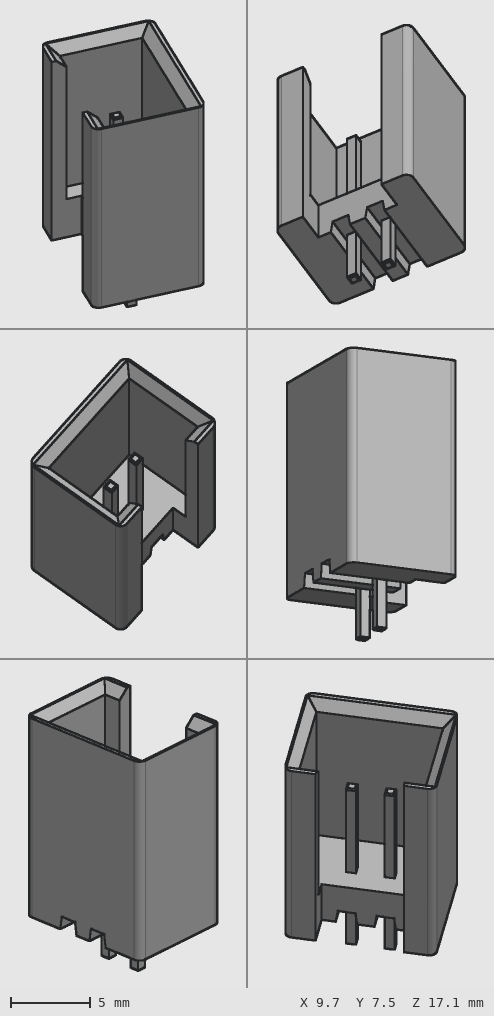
import cadquery as cq

body_width = 9.7
body_depth = 7.5
body_height = 14.0
corner_radius = 0.5

floor_height = 3.0
side_wall = 0.8
end_wall = 1.0
side_rim = 0.1
end_rim = 0.3
lead_in_height = 0.65

slot_width = 5.65
slot_depth = 2.0

pin_pitch = 2.48
pin_size = 0.65
pin_top = 10.0
pin_bottom = -3.1
pin_tip = 0.1
pin_positions = (-pin_pitch / 2, pin_pitch / 2)

groove_height = 0.92
groove_top_width = 1.12
groove_bottom_width = 1.38


def make_housing():
    blank = cq.Workplane("XY").rect(body_width, body_depth).extrude(body_height)
    return blank.edges("|Z").fillet(corner_radius)


def make_cavity():
    width = body_width - 2 * side_wall
    depth = body_depth - 2 * end_wall
    well = (
        cq.Workplane("XY")
        .workplane(offset=floor_height)
        .rect(width, depth)
        .extrude(body_height - floor_height)
    )
    lead_in = (
        cq.Workplane("XY")
        .workplane(offset=body_height - lead_in_height)
        .rect(width, depth)
        .workplane(offset=lead_in_height)
        .rect(body_width - 2 * side_rim, body_depth - 2 * end_rim)
        .loft(ruled=True)
    )
    return well.union(lead_in)


def make_front_slot():
    slot_center_y = (slot_depth - body_depth) / 2
    return (
        cq.Workplane("XY")
        .center(0, slot_center_y)
        .rect(slot_width, slot_depth)
        .extrude(body_height)
    )


def make_groove(x):
    half_top = groove_top_width / 2
    half_bottom = groove_bottom_width / 2
    return (
        cq.Workplane("XZ")
        .polyline([
            (x - half_bottom, 0),
            (x - half_top, groove_height),
            (x + half_top, groove_height),
            (x + half_bottom, 0),
        ])
        .close()
        .extrude(body_depth / 2, both=True)
    )


def make_pin(x):
    return (
        cq.Workplane("XY")
        .workplane(offset=pin_bottom)
        .center(x, 0)
        .rect(pin_size, pin_size)
        .extrude(pin_top - pin_bottom)
        .faces("<Z or >Z")
        .chamfer(pin_tip)
    )


result = make_housing().cut(make_cavity()).cut(make_front_slot())
for pin_x in pin_positions:
    result = result.cut(make_groove(pin_x))
for pin_x in pin_positions:
    result = result.union(make_pin(pin_x))